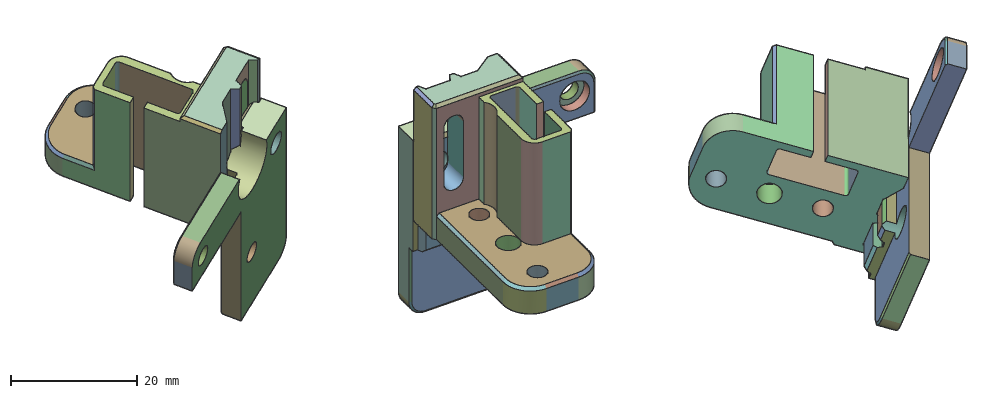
import cadquery as cq

housing_bottom = 19.75
foot_height = 5.0
foot_top = housing_bottom + foot_height
foot_depth = 15.98
foot_corner_radius = 5.0
housing_top = 45.9
edge_chamfer = 0.5

sleeve_top = 44.7
sleeve_left = 10.05
sleeve_depth = 8.15
sleeve_corner_radius = 2.5
cavity_left = 11.2
cavity_right = 24.85
cavity_front = 1.3
cavity_back = 6.7
cavity_corner_radius = 0.5
slit_left = 16.8
slit_right = 19.2

foot_hole_y = 10.25
foot_hole_x = 13.0
foot_hole_diameter = 4.05
screw_hole_spacing = 8.95
screw_hole_diameter = 3.3
screw_head_radius = 2.85

block_left = 25.53
block_right = 32.7
block_depth = 16.55

slot_y = 12.8
slot_width = 3.6
slot_bottom = 28.3
slot_top = 42.8

plate_front_x = 32.8
plate_back_x = 36.25
plate_thickness = plate_back_x - plate_front_x
plate_depth = 16.57
plate_corner_radius = 3.0
plate_chamfer_width = 0.4
plate_chamfer_depth = 0.28
arm_end_y = -17.8
arm_bottom = 27.6
arm_top = 36.5
arm_root_chamfer = 0.25

rail_bottom = 13.6
rail_top = 35.45
rail_tip_x = 30.5
land_x = 31.75
land_front = 5.88
land_chamfer = 0.15
rail_slope_run = 0.65
rail_chamfer = 0.6
back_rail_tip = (10.6, 14.95)
front_rail_tip = (6.35, 8.45)

rail_tip_gap = 0.15
rail_side_gap = 0.1
recess_floor_x = rail_tip_x - rail_tip_gap
recess_land_x = land_x - rail_tip_gap
front_recess_end = 5.5
relief_end = 2.25

clearance_y = 4.22
clearance_z = 33.95
clearance_radius = 5.25
bolt_diameter = 3.45
bolt_head_diameter = 5.5
bolt_head_depth = 1.75
bolt_centers = [(3.95, 13.05), (-13.85, 32.15)]
clamp_hole_y = slot_y
clamp_hole_z = 30.65
clamp_hole_diameter = 3.9


def box_between(x_range, y_range, z_range):
    """Axis-aligned box given by its limits along X, Y and Z."""
    size = [high - low for low, high in (x_range, y_range, z_range)]
    corner = (x_range[0], y_range[0], z_range[0])
    return cq.Workplane("XY").box(*size, centered=False).translate(corner)


def cylinder_z(x, y, radius, bottom, top):
    """Cylinder along Z."""
    return cq.Workplane("XY", origin=(x, y, bottom)).circle(radius).extrude(top - bottom)


def cylinder_x(y, z, radius, start, end):
    """Cylinder along X."""
    return cq.Workplane("YZ", origin=(start, y, z)).circle(radius).extrude(end - start)


def make_foot():
    """Flat foot with rounded outer corners and a chamfered top edge."""
    foot = box_between((0, block_left), (0, foot_depth), (housing_bottom, foot_top))
    foot = foot.edges("|Z and <X").fillet(foot_corner_radius)
    return foot.faces(">Z").edges("not >X").chamfer(edge_chamfer)


def make_sleeve():
    """Outside of the sleeve, with a recess that clears the head of the inner foot screw."""
    sleeve = box_between((sleeve_left, block_left), (0, sleeve_depth), (housing_bottom, sleeve_top))
    sleeve = sleeve.edges("|Z and <X and >Y").fillet(sleeve_corner_radius)
    sleeve = sleeve.edges("|Z and <X and <Y").chamfer(edge_chamfer)
    head_x = foot_hole_x + screw_hole_spacing
    return sleeve.cut(cylinder_z(head_x, foot_hole_y, screw_head_radius, foot_top, sleeve_top))


def make_guide_block():
    """Tall block with chamfered outer edges."""
    block = box_between((block_left, block_right), (0, block_depth), (housing_bottom, housing_top))
    block = block.edges("|Z and <X and >Y").chamfer(edge_chamfer)
    return block.faces(">Z").edges("not >X").chamfer(edge_chamfer)


def make_rail_recess():
    """Space behind the +X profile of the guide block: two recesses with lands beside them."""
    back_recess_front = back_rail_tip[0] - rail_side_gap
    back_recess_back = back_rail_tip[1] + rail_side_gap
    front_recess_back = front_rail_tip[1] + rail_side_gap
    profile = [
        (block_right, block_depth),
        (recess_land_x, block_depth),
        (recess_land_x, back_recess_back + rail_slope_run),
        (recess_floor_x, back_recess_back),
        (recess_floor_x, back_recess_front),
        (recess_land_x, back_recess_front - rail_slope_run),
        (recess_land_x, front_recess_back + rail_slope_run),
        (recess_floor_x, front_recess_back),
        (recess_floor_x, front_recess_end),
        (block_right, relief_end),
    ]
    height = housing_top - housing_bottom
    return cq.Workplane("XY", origin=(0, 0, housing_bottom)).polyline(profile).close().extrude(height)


def make_sleeve_cavity():
    """Rectangular cavity through the full height, opened by the front slit."""
    heights = (housing_bottom, sleeve_top)
    cavity = box_between((cavity_left, cavity_right), (cavity_front, cavity_back), heights)
    cavity = cavity.edges("|Z").fillet(cavity_corner_radius)
    slit = box_between((slit_left, slit_right), (0, cavity_back), heights)
    return cavity.union(slit)


def make_slotted_hole():
    """Round-ended slot along Z through the guide block."""
    middle_z = (slot_bottom + slot_top) / 2
    plane = cq.Workplane("YZ", origin=(block_left, slot_y, middle_z))
    return plane.slot2D(slot_top - slot_bottom, slot_width, 90).extrude(block_right - block_left)


def make_housing():
    """Foot, sleeve and guide block as one body, with all their holes."""
    housing = make_foot().union(make_sleeve())
    foot_holes = [
        (foot_hole_x - screw_hole_spacing, screw_hole_diameter),
        (foot_hole_x, foot_hole_diameter),
        (foot_hole_x + screw_hole_spacing, screw_hole_diameter),
    ]
    for x, diameter in foot_holes:
        housing = housing.cut(cylinder_z(x, foot_hole_y, diameter / 2, housing_bottom, foot_top))
    housing = housing.union(make_guide_block().cut(make_rail_recess()))
    housing = housing.cut(make_sleeve_cavity())
    return housing.cut(make_slotted_hole())


def make_plate_sheet():
    """Upright sheet with a sideways arm, both with one rounded and chamfered corner."""
    outline = [
        (0, 0),
        (plate_depth, 0),
        (plate_depth, arm_top),
        (arm_end_y, arm_top),
        (arm_end_y, arm_bottom),
        (0, arm_bottom),
    ]
    sheet = cq.Workplane("YZ", origin=(plate_front_x, 0, 0)).polyline(outline).close()
    sheet = sheet.extrude(plate_thickness)
    sheet = sheet.edges("(|X and >Y and <Z) or (|X and <Y and >Z)").fillet(plate_corner_radius)
    sheet = sheet.faces("<X").edges("<Z").chamfer(plate_chamfer_depth, plate_chamfer_width)
    return sheet.faces("<X").edges(">Z").chamfer(plate_chamfer_width, plate_chamfer_depth)


def make_rail(profile):
    """Rail along Z from its XY profile, chamfered at both ends of its tip."""
    rail = cq.Workplane("XY", origin=(0, 0, rail_bottom)).polyline(profile).close()
    rail = rail.extrude(rail_top - rail_bottom)
    return rail.faces("<X").edges("|Y").chamfer(rail_chamfer)


def make_rails():
    """Raised land with a symmetric back rail, and a front rail with a bevelled front corner."""
    land = box_between((land_x, plate_back_x), (land_front, plate_depth), (rail_bottom, rail_top))
    land = land.faces("<X").edges("|Y").chamfer(land_chamfer)
    back_rail = [
        (plate_back_x, back_rail_tip[1] + rail_slope_run),
        (land_x, back_rail_tip[1] + rail_slope_run),
        (rail_tip_x, back_rail_tip[1]),
        (rail_tip_x, back_rail_tip[0]),
        (land_x, back_rail_tip[0] - rail_slope_run),
        (plate_back_x, back_rail_tip[0] - rail_slope_run),
    ]
    front_rail = [
        (plate_back_x, front_rail_tip[1] + rail_slope_run),
        (land_x, front_rail_tip[1] + rail_slope_run),
        (rail_tip_x, front_rail_tip[1]),
        (rail_tip_x, front_rail_tip[0]),
        (rail_tip_x + rail_chamfer, land_front),
        (plate_back_x, land_front),
    ]
    return land.union(make_rail(back_rail)).union(make_rail(front_rail))


def make_plate():
    """Sheet with its arm and rails, cut by the round clearance and the holes."""
    above_rails = box_between((plate_front_x, plate_back_x), (0, plate_depth), (rail_top, arm_top))
    plate = make_plate_sheet().cut(above_rails).union(make_rails())
    plate = plate.cut(cylinder_x(clearance_y, clearance_z, clearance_radius, rail_tip_x, plate_back_x))
    plate = plate.faces(">Z").edges("|X and >Y").chamfer(arm_root_chamfer)
    plate = plate.cut(
        cylinder_x(clamp_hole_y, clamp_hole_z, clamp_hole_diameter / 2, rail_tip_x, plate_back_x)
    )
    for y, z in bolt_centers:
        plate = plate.cut(cylinder_x(y, z, bolt_diameter / 2, plate_front_x, plate_back_x))
        head_end = plate_front_x + bolt_head_depth
        plate = plate.cut(cylinder_x(y, z, bolt_head_diameter / 2, rail_tip_x, head_end))
    return plate


housing = make_housing()
plate = make_plate()

result = cq.Compound.makeCompound([housing.val(), plate.val()])